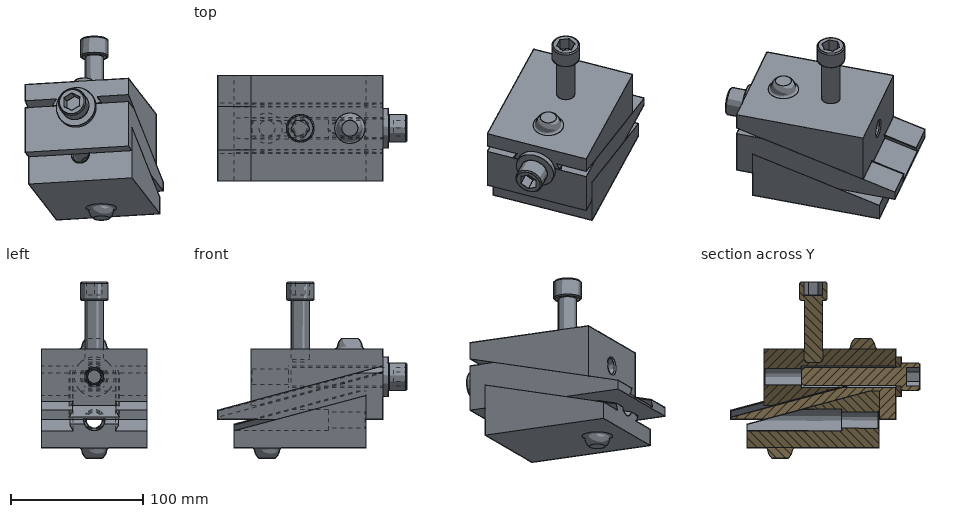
import cadquery as cq
import math

width = 80.0
slide_length = 125.0
slide_nose_height = 7.0
slide_back_height = 35.0
slope_angle = 15.0
slope = math.tan(math.radians(slope_angle))

block_length = 100.0
block_thin_height = 12.9
block_total_height = 42.9
upper_block_top = slide_nose_height + slope * slide_length + block_thin_height
lower_block_start = 12.3
lower_block_bottom = -21.5

flank_angle = 60.0
flank_slope = math.tan(math.radians(flank_angle))
lip_height = 0.7
tongue_neck = 31.9
tongue_height = 5.0
slot_neck = 32.9
slot_depth = 5.3

bore_height = 21.0
clearance_diameter = 16.0
clearance_depth = 71.5
thread_diameter = 12.0
thread_chamfer = 1.0

shank_diameter = 14.0
head_diameter = 21.0
head_height = 14.0
head_chamfer = 1.0
hex_sides = 6
hex_across_flats = 12.0
hex_depth = 10.0
tip_chamfer = 2.0
washer_diameter = 30.0
washer_thickness = 4.0
clamp_screw_length = washer_thickness + clearance_depth
top_screw_x = slide_length / 2
top_screw_height = 104.0
top_screw_engagement = 10.0
top_screw_length = top_screw_height - head_height - upper_block_top + top_screw_engagement

dome_radius = 9.6
dome_centre_height = 0.6
dome_height = 8.0
dome_root_fillet = 2.0
dome_inset = 25.0


def side_plate(points):
    """Full-width plate from an outline in X and Z."""
    return cq.Workplane("XZ").polyline(points).close().extrude(width / 2, both=True)


def sloped_prism(half_section, length):
    """Symmetric prism rising along the slope from X = 0; half_section holds (y, z) points on the +Y side."""
    section = half_section + [(-y, z) for y, z in reversed(half_section)]
    wire = cq.Wire.makePolygon([cq.Vector(0, y, z) for y, z in section], close=True)
    return cq.Workplane(cq.Solid.extrudeLinear(wire, [], cq.Vector(length, 0, length * slope)))


def cylinder_along_x(diameter, start, length, height):
    return cq.Workplane("YZ", origin=(start, 0, height)).circle(diameter / 2).extrude(length)


def make_block_blank():
    """Block without its bore; thin end at X = 0, outer face at Z = 0."""
    thick_height = block_thin_height + slope * block_length
    body = side_plate([
        (0, 0),
        (block_length, 0),
        (block_length, thick_height),
        (0, block_thin_height),
    ])

    lip_start = tongue_height - lip_height
    tongue_half = tongue_neck / 2 + lip_start / flank_slope
    tongue = sloped_prism([
        (tongue_neck / 2, block_thin_height),
        (tongue_half, block_thin_height + lip_start),
        (tongue_half, block_thin_height + tongue_height),
    ], block_length)
    height_limit = cq.Workplane("XY").box(
        block_length, width, block_total_height, centered=(False, True, False)
    )
    return body.union(tongue.intersect(height_limit))


def make_block():
    """Block with a clearance bore from the thin end and a threaded hole from the thick end."""
    clearance = cylinder_along_x(clearance_diameter, 0, clearance_depth, bore_height)
    thread = cylinder_along_x(thread_diameter, 0, block_length, bore_height)
    mouth = cq.Workplane(cq.Solid.makeCone(
        thread_diameter / 2 + thread_chamfer,
        thread_diameter / 2,
        thread_chamfer,
        pnt=cq.Vector(block_length, 0, bore_height),
        dir=cq.Vector(-1, 0, 0),
    ))
    return make_block_blank().cut(clearance).cut(thread).cut(mouth)


def make_dome():
    """Flat-topped dome with a concave root, standing on Z = 0."""
    joint_distance = dome_radius + dome_root_fillet
    root_rise = dome_root_fillet - dome_centre_height
    base_radius = math.sqrt(joint_distance ** 2 - root_rise ** 2)
    top_radius = math.sqrt(dome_radius ** 2 - (dome_height - dome_centre_height) ** 2)
    joint_angle = math.asin(root_rise / joint_distance)
    top_angle = math.acos(top_radius / dome_radius)

    def on_dome(angle):
        return (dome_radius * math.cos(angle), dome_centre_height + dome_radius * math.sin(angle))

    root_angle = math.pi + (joint_angle + math.pi / 2) / 2
    root_middle = (
        base_radius + dome_root_fillet * math.cos(root_angle),
        dome_root_fillet + dome_root_fillet * math.sin(root_angle),
    )
    return (
        cq.Workplane("XZ")
        .lineTo(base_radius, 0)
        .threePointArc(root_middle, on_dome(joint_angle))
        .threePointArc(on_dome((joint_angle + top_angle) / 2), on_dome(top_angle))
        .lineTo(0, dome_height)
        .close()
        .revolve(360, (0, 0, 0), (0, 1, 0))
    )


def make_screw(length):
    """Socket head screw pointing down, with the underside of its head at Z = 0."""
    head = (
        cq.Workplane("XY").circle(head_diameter / 2).extrude(head_height)
        .edges().chamfer(head_chamfer)
    )
    shank = (
        cq.Workplane("XY").circle(shank_diameter / 2).extrude(-length)
        .faces("<Z").chamfer(tip_chamfer)
    )
    socket = (
        cq.Workplane("XY", origin=(0, 0, head_height))
        .polygon(hex_sides, hex_across_flats, circumscribed=True)
        .extrude(-hex_depth)
        .rotate((0, 0, 0), (0, 0, 1), 180 / hex_sides)
    )
    return head.union(shank).cut(socket)


def place_lower(shape):
    return shape.translate((lower_block_start, 0, lower_block_bottom))


def place_upper(shape):
    """Turn a block-frame shape upside down, with its thin end at the back of the slide."""
    return shape.rotate((0, 0, 0), (0, 1, 0), 180).translate((slide_length, 0, upper_block_top))


def make_slide():
    """Wedge slide with a dovetail slot on top, a screw channel and a recess over the lower block."""
    flat_start = (slide_back_height - slide_nose_height) / slope
    body = side_plate([
        (0, 0),
        (slide_length, 0),
        (slide_length, slide_back_height),
        (flat_start, slide_back_height),
        (0, slide_nose_height),
    ])
    slot_floor_half = slot_neck / 2 + (slot_depth - lip_height) / flank_slope
    slot = sloped_prism([
        (slot_neck / 2, slide_nose_height),
        (slot_neck / 2, slide_nose_height - lip_height),
        (slot_floor_half, slide_nose_height - slot_depth),
    ], slide_length)
    screw_channel = place_upper(cylinder_along_x(clearance_diameter, 0, clearance_depth, bore_height))
    return body.cut(slot).cut(screw_channel).cut(place_lower(make_block_blank()))


slide = make_slide()

top_screw = make_screw(top_screw_length).translate((top_screw_x, 0, top_screw_height - head_height))
lower_block = place_lower(make_block())
upper_block = place_upper(make_block()).cut(top_screw)

dome = make_dome().rotate((0, 0, 0), (1, 0, 0), 180).translate((dome_inset, 0, 0))
domes = [place_lower(dome), place_upper(dome)]

clamp_height = upper_block_top - bore_height
washer = cylinder_along_x(washer_diameter, slide_length, washer_thickness, clamp_height).cut(
    cylinder_along_x(shank_diameter, slide_length, washer_thickness, clamp_height)
)
clamp_screw = make_screw(clamp_screw_length).rotate((0, 0, 0), (0, 1, 0), 90).translate(
    (slide_length + washer_thickness, 0, clamp_height)
)

result = cq.Compound.makeCompound([
    slide.val(),
    lower_block.val(),
    upper_block.val(),
    *[pad.val() for pad in domes],
    washer.val(),
    clamp_screw.val(),
    top_screw.val(),
])